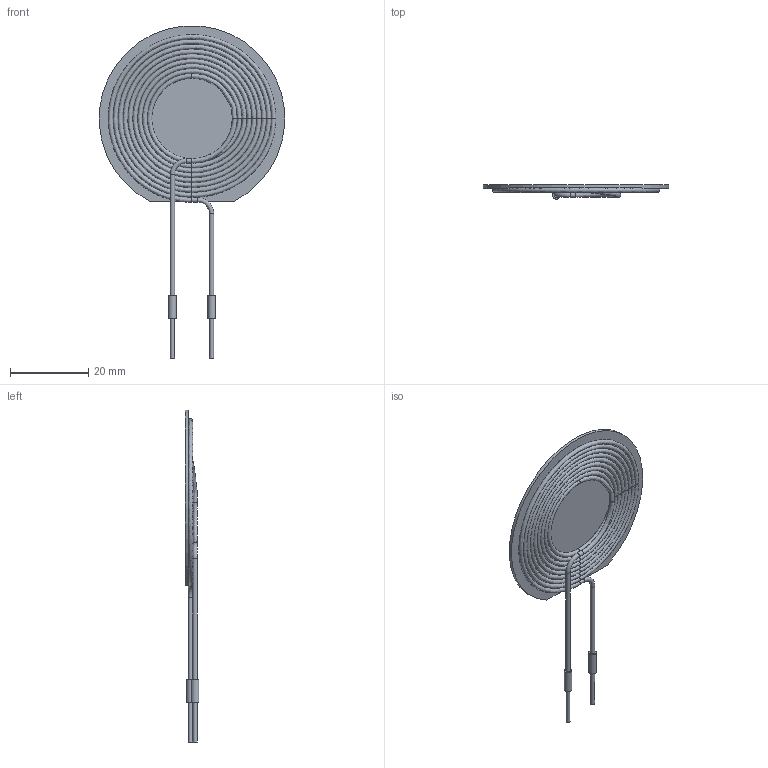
import cadquery as cq
import math


plate_radius = 23.75
plate_thickness = 0.8
plate_flat_z = -21.1

wire_diameter = 1.15
stripped_diameter = 1.05
turn_count = 9
turn_pitch = 1.25
inner_turn_radius = 10.85
outer_turn_radius = inner_turn_radius + (turn_count - 1) * turn_pitch
layer_step = 1.165
climb_steps = 4

lead_x = 5.0
lead_bend_radius = 3.5
lead_end_z = -61.24
stripped_length = 10.0
sleeve_diameter = 2.0
sleeve_length = 6.0
sleeve_bottom_z = lead_end_z + stripped_length
sleeve_top_z = sleeve_bottom_z + sleeve_length

y_back = 0.0
y_front = y_back - plate_thickness
y_first_layer = y_front - wire_diameter / 2
y_second_layer = y_first_layer - layer_step


def make_plate():
    """Round plate with a flat cut across its bottom."""
    flat_half_width = math.sqrt(plate_radius**2 - plate_flat_z**2)
    return (
        cq.Workplane("XZ", origin=(0, y_back, 0))
        .moveTo(-flat_half_width, plate_flat_z)
        .threePointArc((0, plate_radius), (flat_half_width, plate_flat_z))
        .close()
        .extrude(plate_thickness)
    )


def clockwise_arc(radius_x, radius_z, y, start_angle, end_angle):
    """Part of an ellipse in the XZ plane; angles run from +X toward -Z."""
    return cq.Edge.makeEllipse(
        radius_x,
        radius_z,
        pnt=cq.Vector(0, y, 0),
        dir=cq.Vector(0, 1, 0),
        xdir=cq.Vector(1, 0, 0),
        angle1=start_angle,
        angle2=end_angle,
    )


def full_turns():
    """All turns but the innermost: round for 270 degrees, then drawn in by one pitch."""
    edges = []
    for turn in range(turn_count - 1):
        radius = outer_turn_radius - turn * turn_pitch
        edges.append(clockwise_arc(radius, radius, y_first_layer, 90, 360))
        edges.append(clockwise_arc(radius, radius - turn_pitch, y_first_layer, 0, 90))
    return edges


def innermost_turn():
    """The last turn, which climbs to the second layer between its top and its +X side."""
    radius = inner_turn_radius
    climb_points = []
    for step in range(climb_steps + 1):
        angle = math.pi / 2 * step / climb_steps
        climbed = layer_step * (1 - math.cos(2 * angle)) / 2
        point = cq.Vector(radius * math.sin(angle), y_first_layer - climbed, radius * math.cos(angle))
        climb_points.append(point)
    climb = cq.Edge.makeSpline(climb_points, tangents=[cq.Vector(1, 0, 0), cq.Vector(0, 0, -1)])
    return [
        clockwise_arc(radius, radius, y_first_layer, 90, 270),
        climb,
        clockwise_arc(radius, radius, y_second_layer, 0, 90),
    ]


def lead_edges(side, turn_radius, y):
    """Centre line from the bottom of a turn, through a bend, down to the sleeve; side is -1 or +1."""
    bend_start_x = lead_x - lead_bend_radius
    bend_centre_z = -turn_radius - lead_bend_radius
    bend_reach = lead_bend_radius * math.sqrt(0.5)
    turn_end = cq.Vector(0, y, -turn_radius)
    bend_start = cq.Vector(side * bend_start_x, y, -turn_radius)
    bend_middle = cq.Vector(side * (bend_start_x + bend_reach), y, bend_centre_z + bend_reach)
    bend_end = cq.Vector(side * lead_x, y, bend_centre_z)
    sleeve_top = cq.Vector(side * lead_x, y, sleeve_top_z)
    return [
        cq.Edge.makeLine(turn_end, bend_start),
        cq.Edge.makeThreePointArc(bend_start, bend_middle, bend_end),
        cq.Edge.makeLine(bend_end, sleeve_top),
    ]


def wire_along(edges, start, direction):
    """Round wire swept along joined edges, starting at a point and heading in a direction."""
    path = cq.Workplane(obj=cq.Wire.assembleEdges(edges))
    return cq.Workplane(cq.Plane(start, normal=direction)).circle(wire_diameter / 2).sweep(path)


def make_lead_end(side, y):
    """Sleeve and the stripped wire end below it."""
    sleeve = (
        cq.Workplane("XY", origin=(side * lead_x, y, sleeve_bottom_z))
        .circle(sleeve_diameter / 2)
        .extrude(sleeve_length)
    )
    stripped_wire = (
        cq.Workplane("XY", origin=(side * lead_x, y, lead_end_z))
        .circle(stripped_diameter / 2)
        .extrude(stripped_length)
    )
    return sleeve.union(stripped_wire)


def make_coil():
    """The whole winding with its two leads: the outer one at +X, the inner one at -X."""
    winding_edges = full_turns() + innermost_turn()
    outer_lead = list(reversed(lead_edges(1, outer_turn_radius, y_first_layer)))
    inner_lead = lead_edges(-1, inner_turn_radius, y_second_layer)
    wire = wire_along(
        outer_lead + winding_edges + inner_lead,
        (lead_x, y_first_layer, sleeve_top_z),
        (0, 0, 1),
    )
    outer_end = make_lead_end(1, y_first_layer)
    inner_end = make_lead_end(-1, y_second_layer)
    return wire.union(outer_end).union(inner_end)


plate = make_plate()
coil = make_coil()

result = cq.Compound.makeCompound([plate.val(), coil.solids().val()])